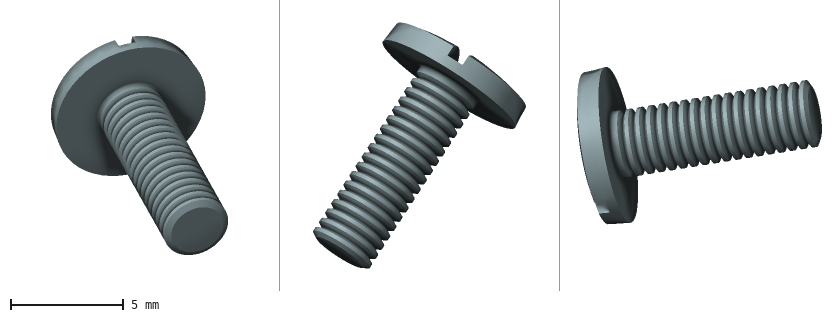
import cadquery as cq
import math

total_length = 10.49
shank_length = 9.0
shank_diameter = 3.0

head_diameter = 7.0
head_draft_angle = 5.0
head_rim_height = 1.0
slot_width = 0.8
slot_depth = 1.0

thread_count = 18
thread_depth = 0.28
crest_width = 0.18

neck_fillet_radius = 0.1

head_radius = head_diameter / 2
rim_radius = head_radius - head_rim_height * math.tan(math.radians(head_draft_angle))
head_height = total_length - shank_length
shank_radius = shank_diameter / 2
pitch = shank_length / thread_count
flank_width = (pitch - crest_width) / 2


def dome_sphere():
    """Return the centre X and radius of the sphere through the rim and the slot's top edges.

    The slot removes the apex, so the outermost points lie half a slot width off the axis.
    """
    edge_offset = slot_width / 2
    edge_x = -head_height
    rim_x = -head_rim_height
    centre_x = (rim_x**2 + rim_radius**2 - edge_x**2 - edge_offset**2) / (2 * (rim_x - edge_x))
    return centre_x, math.hypot(rim_x - centre_x, rim_radius)


def make_head():
    """Drafted rim closed by a shallow spherical dome."""
    centre_x, dome_radius = dome_sphere()
    apex_x = centre_x - dome_radius
    half_angle = math.asin(rim_radius / dome_radius) / 2
    dome_middle = (
        centre_x - dome_radius * math.cos(half_angle),
        dome_radius * math.sin(half_angle),
    )
    profile = (
        cq.Workplane("XY")
        .moveTo(apex_x, 0)
        .threePointArc(dome_middle, (-head_rim_height, rim_radius))
        .lineTo(0, head_radius)
        .lineTo(0, 0)
        .close()
    )
    return profile.revolve(360, (0, 0, 0), (1, 0, 0))


def make_threaded_shank():
    """Shank of repeated flat crests and V roots; the first crest joins the head through a fillet."""
    root_radius = shank_radius - thread_depth
    fillet_inset = neck_fillet_radius * (1 - math.sqrt(0.5))
    profile = (
        cq.Workplane("XY")
        .moveTo(0, 0)
        .lineTo(0, shank_radius + neck_fillet_radius)
        .threePointArc(
            (fillet_inset, shank_radius + fillet_inset),
            (neck_fillet_radius, shank_radius),
        )
    )
    for index in range(thread_count):
        start_x = index * pitch
        end_x = start_x + pitch
        if index > 0:
            profile = profile.lineTo(start_x + flank_width, shank_radius)
        profile = profile.lineTo(end_x - flank_width, shank_radius)
        profile = profile.lineTo(end_x, root_radius)
    profile = profile.lineTo(shank_length, 0).close()
    return profile.revolve(360, (0, 0, 0), (1, 0, 0))


def make_slot():
    """Straight driver slot across the full head, cut from the outermost face."""
    return (
        cq.Workplane("XY")
        .box(2 * slot_depth, slot_width, 2 * head_diameter)
        .translate((-head_height, 0, 0))
    )


result = make_head().union(make_threaded_shank()).cut(make_slot())